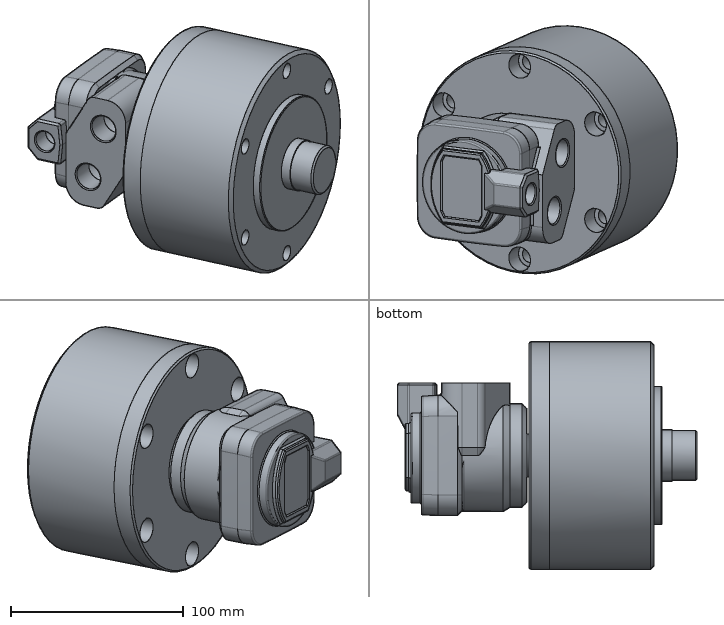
import cadquery as cq
import math


overall_length = 173.5

drum_diameter = 132.0
flange_thickness = 12.0
flange_chamfer = 1.0
drum_end_x = 72.3
drum_chamfer = 2.0

screw_count = 6
screw_circle_radius = 57.5
screw_head_diameter = 14.2
screw_hole_diameter = 9.0

cap_diameter = 80.0
cap_thickness = 4.7
cap_chamfer = 0.5

shaft_end_x = 97.3
collar_diameter = 30.0
collar_length = 5.7
journal_diameter = 29.0
shaft_chamfer = 1.0

neck_radius = 12.5
housing_front_x = -1.2
pilot_chamfer = 3.0
pilot_radius = 30.0
pilot_rear_x = -11.0
barrel_front_x = -15.0
barrel_radius = 32.5
barrel_root_fillet = 1.4

case_half_width = 34.4
case_bulge = 0.5
case_corner_radius = 12.0
case_front_x = -38.9
case_split_x = -52.7
case_rear_x = -62.3
case_front_chamfer = 2.6
case_rear_fillet = 1.0
case_draft_angle = 3

disc_radius = 27.5
disc_rear_x = -68.4
disc_edge_fillet = 0.9
disc_root_bevel = 0.7
plate_half_height = 23.2
plate_half_width = 21.7
plate_flat_half_length = 13.2
plate_foot_height = 1.4
plate_foot_taper = 35
plate_rear_x = -71.7
plate_taper = 12
plate_edge_chamfer = 0.7
window_half_height = 18.7
window_half_width = 13.5
window_corner_height = 3.8
window_corner_width = 2.0
window_depth = 0.7

port_face_y = -42.0

block_half_height = 34.7
block_rear_x = -50.5
block_front_x = -11.1
block_half_length = (block_front_x - block_rear_x) / 2
block_center_x = (block_front_x + block_rear_x) / 2
block_side_z = 8.3
block_slope_angle = 59
block_large_radius = 11.8
block_small_radius = 5.0
block_shoulder_y = -4.7
block_cap_length = 4.7
block_cap_taper = 25
block_root_width = 1.7
main_port_diameter = 15.6
main_port_depth = 15.0
main_port_chamfer = 0.7
main_port_offset_x = 5.0
main_port_offset_z = 16.1

lug_rear_x = shaft_end_x - overall_length
lug_half_height = 12.8
lug_flat_half_height = 6.5
lug_front_x = -54.7
lug_peak_x = -53.3
lug_root_y = -15.1
lug_shoulder_y = -23.6
lug_edge_fillet = 1.4
lug_face_chamfer = 1.2
drain_port_x = -64.5
drain_port_diameter = 12.1
drain_port_depth = 12.1
drain_port_chamfer = 0.7

drill_point_angle = 118
bevel_angle = 45


def disc(radius, start_x, end_x):
    """Cylinder on the X axis between two X positions."""
    return cq.Workplane("YZ", origin=(start_x, 0, 0)).circle(radius).extrude(end_x - start_x)


def rear_facing_plane(x):
    """Plane across the X axis that faces -X, with Z up."""
    return cq.Plane(origin=(x, 0, 0), xDir=(0, -1, 0), normal=(-1, 0, 0))


def screw_pattern(start_x):
    """Workplane facing +X at start_x, with a point at every screw position."""
    first_angle = 90
    full_turn = 360
    plane = cq.Workplane("YZ", origin=(start_x, 0, 0))
    return plane.polarArray(screw_circle_radius, first_angle, full_turn, screw_count)


def make_flange():
    plate = disc(drum_diameter / 2, 0, flange_thickness).faces("<X").chamfer(flange_chamfer)
    return plate.cut(screw_pattern(0).circle(screw_head_diameter / 2).extrude(flange_thickness))


def make_drum():
    body = disc(drum_diameter / 2, flange_thickness, drum_end_x).faces(">X").chamfer(drum_chamfer)
    holes = screw_pattern(flange_thickness).circle(screw_hole_diameter / 2)
    return body.cut(holes.extrude(drum_end_x - flange_thickness))


def make_cap():
    cap_end_x = drum_end_x + cap_thickness
    ring = disc(cap_diameter / 2, drum_end_x, cap_end_x).faces(">X").edges().chamfer(cap_chamfer)
    return ring.cut(disc(collar_diameter / 2, drum_end_x, cap_end_x))


def make_shaft():
    collar_end_x = drum_end_x + cap_thickness + collar_length
    collar = disc(collar_diameter / 2, drum_end_x, collar_end_x)
    journal = disc(journal_diameter / 2, collar_end_x, shaft_end_x).faces(">X").chamfer(shaft_chamfer)
    return collar.union(journal)


def make_front_housing():
    """Turned front of the motor: neck, pilot, cone and barrel."""
    profile = [
        (0, 0),
        (0, neck_radius),
        (housing_front_x, neck_radius),
        (housing_front_x, pilot_radius - pilot_chamfer),
        (housing_front_x - pilot_chamfer, pilot_radius),
        (pilot_rear_x, pilot_radius),
        (barrel_front_x, barrel_radius),
        (case_front_x, barrel_radius),
        (case_front_x, 0),
    ]
    return cq.Workplane("XY").polyline(profile).close().revolve(360, (0, 0, 0), (1, 0, 0))


def case_outline(start_x):
    """Square with bulged sides, on a workplane that faces -X."""
    w = case_half_width
    peak = case_half_width + case_bulge
    return (
        cq.Workplane(rear_facing_plane(start_x))
        .moveTo(-w, -w)
        .threePointArc((0, -peak), (w, -w))
        .threePointArc((peak, 0), (w, w))
        .threePointArc((0, peak), (-w, w))
        .threePointArc((-peak, 0), (-w, -w))
        .close()
    )


def make_case():
    """Square gear case: straight front half, drafted rear half."""
    front = case_outline(case_front_x).extrude(case_front_x - case_split_x)
    rear_outline = front.faces("<X").wires().toPending().workplane()
    rear = rear_outline.extrude(case_split_x - case_rear_x, taper=case_draft_angle, combine=False)
    rear = rear.edges("not(<X or >X)").fillet(case_corner_radius)
    rear = rear.faces("<X").edges().fillet(case_rear_fillet)
    front = front.edges("|X").fillet(case_corner_radius).faces(">X").chamfer(case_front_chamfer)
    return front.union(rear)


def make_barrel_root():
    """Concave flare where the barrel meets the front of the gear case, kept inside the case sides."""
    flare = (
        cq.Workplane("XY")
        .moveTo(case_front_x, 0)
        .lineTo(case_front_x, barrel_radius + barrel_root_fillet)
        .radiusArc((case_front_x + barrel_root_fillet, barrel_radius), -barrel_root_fillet)
        .lineTo(case_front_x + barrel_root_fillet, 0)
        .close()
        .revolve(360, (0, 0, 0), (1, 0, 0))
    )
    side = 2 * (case_half_width + case_bulge - case_front_chamfer)
    front_plane = cq.Workplane("YZ", origin=(case_front_x, 0, 0))
    return flare.intersect(front_plane.rect(side, side).extrude(barrel_root_fillet))


def make_rear_disc():
    body = disc(disc_radius, disc_rear_x, case_rear_x).faces("<X").edges().fillet(disc_edge_fillet)
    root = (
        cq.Workplane(rear_facing_plane(case_rear_x))
        .circle(disc_radius + disc_root_bevel)
        .extrude(disc_root_bevel, taper=bevel_angle)
    )
    return body.union(root)


def make_cover_plate():
    """Plate with flat ends and arched sides: flared foot and drafted top with a bevelled edge."""
    foot = (
        cq.Workplane(rear_facing_plane(disc_rear_x))
        .moveTo(-plate_flat_half_length, -plate_half_height)
        .lineTo(plate_flat_half_length, -plate_half_height)
        .threePointArc((plate_half_width, 0), (plate_flat_half_length, plate_half_height))
        .lineTo(-plate_flat_half_length, plate_half_height)
        .threePointArc((-plate_half_width, 0), (-plate_flat_half_length, -plate_half_height))
        .close()
        .extrude(plate_foot_height, taper=plate_foot_taper)
    )
    top_height = disc_rear_x - plate_foot_height - plate_rear_x
    top_outline = foot.faces("<X").wires().toPending().workplane()
    top = top_outline.extrude(top_height, taper=plate_taper, combine=False)
    return foot.union(top.faces("<X").edges().chamfer(plate_edge_chamfer))


def octagon(half_width, half_height, corner_width, corner_height):
    """Rectangle with its four corners cut off."""
    inner_w = half_width - corner_width
    inner_h = half_height - corner_height
    return [
        (inner_w, half_height),
        (half_width, inner_h),
        (half_width, -inner_h),
        (inner_w, -half_height),
        (-inner_w, -half_height),
        (-half_width, -inner_h),
        (-half_width, inner_h),
        (-inner_w, half_height),
    ]


def make_window():
    """Shallow recess with sloping walls and cut corners in the cover plate."""
    return (
        cq.Workplane("YZ", origin=(plate_rear_x, 0, 0))
        .polyline(octagon(window_half_width, window_half_height, window_corner_width, window_corner_height))
        .close()
        .extrude(window_depth, taper=bevel_angle)
    )


def block_prism(start_y, end_y):
    """Prism of the side block outline, which is the same when turned half a turn about its centre."""
    slope_run = (block_half_height - block_side_z) / math.tan(math.radians(block_slope_angle))
    outline = [
        (-block_half_length, -block_half_height),
        (-block_half_length, block_side_z),
        (-block_half_length + slope_run, block_half_height),
        (block_half_length, block_half_height),
        (block_half_length, -block_side_z),
        (block_half_length - slope_run, -block_half_height),
    ]
    prism = (
        cq.Workplane("XZ", origin=(block_center_x, start_y, 0))
        .polyline(outline)
        .close()
        .extrude(start_y - end_y)
    )
    middle_y = (start_y + end_y) / 2
    for side in (-1, 1):
        large = (block_center_x + side * block_half_length, middle_y, side * block_half_height)
        small = (block_center_x - side * (block_half_length - slope_run), middle_y, side * block_half_height)
        prism = prism.edges(cq.selectors.NearestToPointSelector(large)).fillet(block_large_radius)
        prism = prism.edges(cq.selectors.NearestToPointSelector(small)).fillet(block_small_radius)
    return prism


def make_port_block():
    """Side block with a tapered cap that runs into the barrel."""
    block = block_prism(block_shoulder_y, port_face_y)
    cap_outline = block.faces(">Y").wires().toPending().workplane()
    cap = cap_outline.extrude(block_cap_length, taper=block_cap_taper, combine=False)
    return block.union(cap)


def make_block_root():
    """Sloping strip where the rear faces of the side block leave the flat side of the gear case."""
    seat_y = -case_half_width
    face = block_prism(seat_y + block_root_width, seat_y).faces("<Y").wires().toPending().workplane()
    wide = face.offset2D(block_root_width).extrude(-block_root_width, combine=False)
    rim = wide.faces("<Y").wires().toPending().workplane()
    strip = wide.union(rim.extrude(block_root_width, taper=bevel_angle, combine=False))
    front_x = case_front_x - case_front_chamfer
    half_height = case_half_width - case_corner_radius
    flat_zone = (
        cq.Workplane("YZ", origin=(case_rear_x, seat_y, 0))
        .rect(4 * block_root_width, 2 * half_height)
        .extrude(front_x - case_rear_x)
    )
    return strip.intersect(flat_zone)


def make_drain_lug():
    """Lug across the rear disc, with a sloped root and a bevelled port face."""
    corner_x = lug_rear_x + lug_half_height - lug_flat_half_height
    outline = [
        (lug_rear_x, lug_flat_half_height),
        (corner_x, lug_half_height),
        (lug_front_x, lug_half_height),
        (lug_peak_x, 0),
        (lug_front_x, -lug_half_height),
        (corner_x, -lug_half_height),
        (lug_rear_x, -lug_flat_half_height),
    ]
    lug = (
        cq.Workplane("XZ", origin=(0, lug_root_y, 0))
        .polyline(outline)
        .close()
        .extrude(lug_root_y - port_face_y)
    )
    root_cut = (
        cq.Workplane("XY")
        .polyline([(lug_rear_x, lug_shoulder_y), (plate_rear_x, lug_root_y), (lug_rear_x, lug_root_y)])
        .close()
        .extrude(lug_half_height, both=True)
    )
    lug = lug.edges("|Y").edges("not >X").fillet(lug_edge_fillet)
    lug = lug.cut(root_cut)
    shoulder = (lug_rear_x, lug_shoulder_y, 0)
    lug = lug.edges(cq.selectors.NearestToPointSelector(shoulder)).fillet(lug_edge_fillet)
    return lug.faces("<Y").edges().chamfer(lug_face_chamfer)


def port(x, z, diameter, depth, mouth_chamfer):
    """Drilled port with a chamfered mouth and a conical bottom, going in +Y."""
    radius = diameter / 2
    point_depth = radius / math.tan(math.radians(drill_point_angle / 2))
    profile = [
        (0, 0),
        (radius + mouth_chamfer, 0),
        (radius, mouth_chamfer),
        (radius, depth),
        (0, depth + point_depth),
    ]
    drill = cq.Workplane("XY").polyline(profile).close().revolve(360, (0, 0, 0), (0, 1, 0))
    return drill.translate((x, port_face_y, z))


def make_motor():
    motor = make_front_housing()
    parts = [
        make_case(),
        make_barrel_root(),
        make_rear_disc(),
        make_cover_plate(),
        make_port_block(),
        make_block_root(),
    ]
    for part in parts:
        motor = motor.union(part)
    motor = motor.cut(make_window()).union(make_drain_lug())
    for side in (-1, 1):
        x = block_center_x + side * main_port_offset_x
        z = side * main_port_offset_z
        motor = motor.cut(port(x, z, main_port_diameter, main_port_depth, main_port_chamfer))
    return motor.cut(port(drain_port_x, 0, drain_port_diameter, drain_port_depth, drain_port_chamfer))


motor = make_motor()
flange = make_flange()
drum = make_drum()
cap = make_cap()
shaft = make_shaft()

result = cq.Compound.makeCompound([motor.val(), flange.val(), drum.val(), cap.val(), shaft.val()])